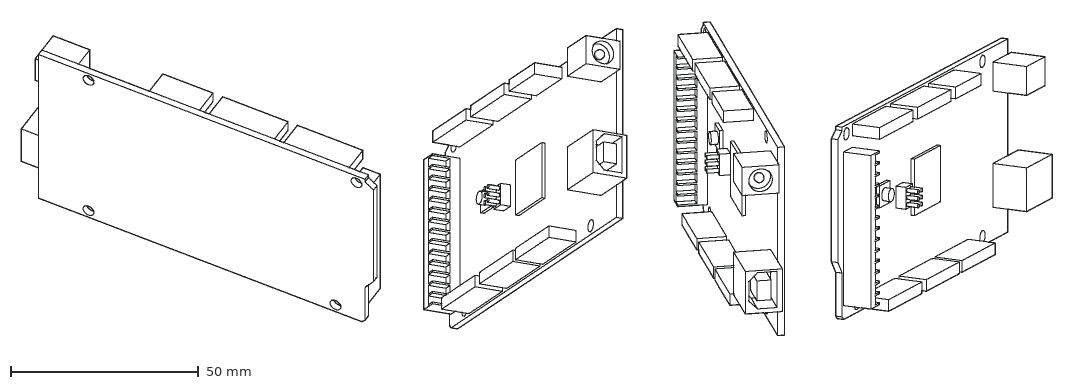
import cadquery as cq


BOARD_LEFT = 6.3
BOARD_RIGHT = 108.1
BOARD_STEP_X = 105.5
BOARD_HEIGHT = 53.4
BOARD_THICKNESS = 1.9
TAB_LOW_Z = 13.1
TAB_SLOPE_LOW_Z = 16.6
TAB_SLOPE_HIGH_Z = 50.6
TAB_HIGH_Z = 52.4
CORNER_CHAMFER = 1.0

MOUNT_DIAMETER = 3.2
MOUNT_EDGE_Z = 2.5
MOUNT_LEFT_X = 21.5
MOUNT_LOW_RIGHT_X = 96.5
MOUNT_HIGH_RIGHT_X = 102.9

SOCKET_DEPTH_Y = 10.0
SOCKET_END_X = 15.3
USB_LOW_Z = 9.1
USB_WIDTH = 12.1
USB_OPENING_WIDTH = 10.3
USB_OPENING_SHIFT_Z = 0.3
USB_OPENING_LOW_Y = 3.4
USB_OPENING_HIGH_Y = 11.0
USB_OPENING_CHAMFER = 2.4
USB_OPENING_DEPTH = 8.6
USB_TONGUE_WIDTH = 5.6
USB_TONGUE_LOW_Y = 5.0
USB_TONGUE_HIGH_Y = 8.9
JACK_START_X = 4.2
JACK_LOW_Z = 41.2
JACK_WIDTH = 8.0
JACK_BORE_DIAMETER = 6.4
JACK_BORE_DEPTH = 2.5
JACK_PIN_DIAMETER = 2.6
JACK_PIN_LENGTH = 1.9

HEADER_TOP_Y = 10.0
HEADER_WIDTH = 3.2
HEADER_MARGIN_Z = 0.6
LONG_HEADER = 19.9
UPPER_HEADERS = [(38.6, 53.8), (56.7, 56.7 + LONG_HEADER), (79.4, 79.4 + LONG_HEADER)]
LOWER_HEADERS = [(x, x + LONG_HEADER) for x in (30.2, 51.5, 74.0)]

END_HEADER_START_X = UPPER_HEADERS[-1][1]
END_HEADER_END_X = 104.6
NOTCH_COUNT = 14
NOTCH_LENGTH = 2.5
NOTCH_WALL = 0.51
NOTCH_DEPTH_X = 2.5
NOTCH_FLOOR_Y = 4.9

CHIP_START_X = 48.6
CHIP_SIDE = 15.6
CHIP_TOP_Y = 2.9
BLOCK_START_X = 69.2
BLOCK_CENTRE_Z = 26.2
BLOCK_TOP_Y = 4.9
PIN_PITCH = 1.9
PIN_DIAMETER = 1.1
PIN_TOP_Y = 8.1
PIN_COLUMNS = 2
PIN_ROWS = 3
BLOCK_EDGE = 1.1
BUTTON_BASE_START_X = 78.9
BUTTON_BASE_SIDE = 6.0
BUTTON_BASE_TOP_Y = CHIP_TOP_Y
BUTTON_CENTRE_Z = 29.2
BUTTON_DIAMETER = 3.6
BUTTON_TOP_Y = BLOCK_TOP_Y


def box(x_range, y_range, z_range):
    """Box between two limits along each axis."""
    (x0, x1), (y0, y1), (z0, z1) = x_range, y_range, z_range
    return cq.Workplane("XY").box(x1 - x0, y1 - y0, z1 - z0, centered=False).translate((x0, y0, z0))


def cylinder_along_y(x, z, diameter, y0, y1):
    circle = cq.Workplane("XZ", origin=(x, y0, z)).circle(diameter / 2)
    return circle.extrude(y0 - y1)


def make_board():
    outline = [
        (BOARD_LEFT, 0),
        (BOARD_STEP_X - CORNER_CHAMFER, 0),
        (BOARD_STEP_X, CORNER_CHAMFER),
        (BOARD_STEP_X, TAB_LOW_Z),
        (BOARD_RIGHT, TAB_SLOPE_LOW_Z),
        (BOARD_RIGHT, TAB_SLOPE_HIGH_Z),
        (BOARD_STEP_X, TAB_HIGH_Z),
        (BOARD_STEP_X, BOARD_HEIGHT),
        (BOARD_LEFT, BOARD_HEIGHT),
    ]
    board = cq.Workplane("XZ").polyline(outline).close().extrude(-BOARD_THICKNESS)
    upper_z = BOARD_HEIGHT - MOUNT_EDGE_Z
    mounts = [
        (MOUNT_LEFT_X, MOUNT_EDGE_Z),
        (MOUNT_LOW_RIGHT_X, MOUNT_EDGE_Z),
        (MOUNT_LEFT_X, upper_z),
        (MOUNT_HIGH_RIGHT_X, upper_z),
    ]
    for x, z in mounts:
        board = board.cut(cylinder_along_y(x, z, MOUNT_DIAMETER, 0, BOARD_THICKNESS))
    return board


def make_usb_socket():
    """Square socket with a chamfered opening and a tongue inside it."""
    socket_y = (BOARD_THICKNESS, BOARD_THICKNESS + SOCKET_DEPTH_Y)
    body = box((0, SOCKET_END_X), socket_y, (USB_LOW_Z, USB_LOW_Z + USB_WIDTH))
    centre_z = USB_LOW_Z + USB_WIDTH / 2 + USB_OPENING_SHIFT_Z
    half = USB_OPENING_WIDTH / 2
    opening = box(
        (0, USB_OPENING_DEPTH),
        (USB_OPENING_LOW_Y, USB_OPENING_HIGH_Y),
        (centre_z - half, centre_z + half),
    )
    opening = opening.edges("|X and >Y").chamfer(USB_OPENING_CHAMFER)
    half_tongue = USB_TONGUE_WIDTH / 2
    tongue = box(
        (0, USB_OPENING_DEPTH),
        (USB_TONGUE_LOW_Y, USB_TONGUE_HIGH_Y),
        (centre_z - half_tongue, centre_z + half_tongue),
    )
    return body.cut(opening).union(tongue)


def make_power_jack():
    """Square jack with a round bore and a dome-tipped centre pin."""
    socket_y = (BOARD_THICKNESS, BOARD_THICKNESS + SOCKET_DEPTH_Y)
    body = box((JACK_START_X, SOCKET_END_X), socket_y, (JACK_LOW_Z, JACK_LOW_Z + JACK_WIDTH))
    centre = (JACK_START_X, BOARD_THICKNESS + SOCKET_DEPTH_Y / 2, JACK_LOW_Z + JACK_WIDTH / 2)
    mouth = cq.Workplane("YZ", origin=centre)
    bore = mouth.circle(JACK_BORE_DIAMETER / 2).extrude(JACK_BORE_DEPTH)
    radius = JACK_PIN_DIAMETER / 2
    dome_start = JACK_BORE_DEPTH - JACK_PIN_LENGTH + radius
    pin = mouth.workplane(offset=dome_start).circle(radius).extrude(JACK_BORE_DEPTH - dome_start)
    dome = cq.Workplane("XY").sphere(radius).translate((centre[0] + dome_start, centre[1], centre[2]))
    return body.cut(bore).union(pin).union(dome)


def make_header_rows():
    header_y = (BOARD_THICKNESS, HEADER_TOP_Y)
    upper_z = BOARD_HEIGHT - HEADER_MARGIN_Z - HEADER_WIDTH
    rows = [(LOWER_HEADERS, HEADER_MARGIN_Z), (UPPER_HEADERS, upper_z)]
    return [
        box(x_range, header_y, (low_z, low_z + HEADER_WIDTH))
        for headers, low_z in rows
        for x_range in headers
    ]


def make_end_header():
    """Header between the two rows, notched along its inner top edge."""
    low_z = HEADER_MARGIN_Z + HEADER_WIDTH
    pitch = NOTCH_LENGTH + NOTCH_WALL
    high_z = low_z + NOTCH_COUNT * pitch + NOTCH_WALL
    header = box((END_HEADER_START_X, END_HEADER_END_X), (BOARD_THICKNESS, HEADER_TOP_Y), (low_z, high_z))
    notch_x = (END_HEADER_START_X, END_HEADER_START_X + NOTCH_DEPTH_X)
    for i in range(NOTCH_COUNT):
        start_z = low_z + NOTCH_WALL + i * pitch
        notch_z = (start_z, start_z + NOTCH_LENGTH)
        header = header.cut(box(notch_x, (NOTCH_FLOOR_Y, HEADER_TOP_Y), notch_z))
    return header


def make_chip():
    """Flat square chip at mid height of the board."""
    low_z = (BOARD_HEIGHT - CHIP_SIDE) / 2
    chip_x = (CHIP_START_X, CHIP_START_X + CHIP_SIDE)
    return box(chip_x, (BOARD_THICKNESS, CHIP_TOP_Y), (low_z, low_z + CHIP_SIDE))


def make_pin_block():
    """Low block on the board, carrying a grid of round pins."""
    length_x = (PIN_COLUMNS - 1) * PIN_PITCH + 2 * BLOCK_EDGE
    length_z = (PIN_ROWS - 1) * PIN_PITCH + 2 * BLOCK_EDGE
    low_z = BLOCK_CENTRE_Z - length_z / 2
    block_x = (BLOCK_START_X, BLOCK_START_X + length_x)
    block = box(block_x, (BOARD_THICKNESS, BLOCK_TOP_Y), (low_z, low_z + length_z))
    for column in range(PIN_COLUMNS):
        for row in range(PIN_ROWS):
            x = BLOCK_START_X + BLOCK_EDGE + column * PIN_PITCH
            z = low_z + BLOCK_EDGE + row * PIN_PITCH
            block = block.union(cylinder_along_y(x, z, PIN_DIAMETER, BLOCK_TOP_Y, PIN_TOP_Y))
    return block


def make_button():
    """Round push button on a square base."""
    half = BUTTON_BASE_SIDE / 2
    base = box(
        (BUTTON_BASE_START_X, BUTTON_BASE_START_X + BUTTON_BASE_SIDE),
        (BOARD_THICKNESS, BUTTON_BASE_TOP_Y),
        (BUTTON_CENTRE_Z - half, BUTTON_CENTRE_Z + half),
    )
    centre_x = BUTTON_BASE_START_X + half
    cap = cylinder_along_y(centre_x, BUTTON_CENTRE_Z, BUTTON_DIAMETER, BUTTON_BASE_TOP_Y, BUTTON_TOP_Y)
    return base.union(cap)


components = [
    make_usb_socket(),
    make_power_jack(),
    *make_header_rows(),
    make_end_header(),
    make_chip(),
    make_pin_block(),
    make_button(),
]
result = make_board()
for component in components:
    result = result.union(component)